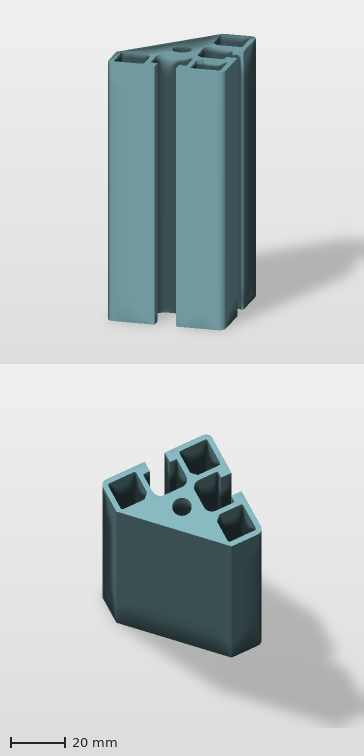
import cadquery as cq

side = 45.0
length = 100.0
short_side = 13.3
outer_radius = 2.5
half = side / 2

slot_opening = 8.2
slot_width = 13.9
slot_depth = 15.3
lip_thickness = 4.3
slot_radius = 3.3

cavity_size = 11.6
wall_thickness = 2.0
cavity_chamfer = 2.1
cavity_radius = 0.8
bore_diameter = 7.2


def make_body():
    """Square bar with one corner cut away by a 45 degree face."""
    outline = [
        (-half, -half),
        (half, -half),
        (half, half),
        (half - short_side, half),
        (-half, short_side - half),
    ]
    body = cq.Workplane("XY").polyline(outline).close().extrude(length)
    square_corners = [(-half, -half), (half, -half), (half, half)]
    for x, y in square_corners:
        edge = cq.selectors.NearestToPointSelector((x, y, length / 2))
        body = body.edges("|Z").edges(edge).fillet(outer_radius)
    return body


def make_slot():
    """T-slot cutter opening on the -Y face."""
    chamber_depth = slot_depth - lip_thickness
    chamber = (
        cq.Workplane("XY")
        .center(0, -half + lip_thickness + chamber_depth / 2)
        .rect(slot_width, chamber_depth)
        .extrude(length)
        .edges("|Z and >Y")
        .fillet(slot_radius)
    )
    opening = (
        cq.Workplane("XY")
        .center(0, -half + slot_depth / 2)
        .rect(slot_opening, slot_depth)
        .extrude(length)
    )
    return chamber.union(opening)


def make_cavity(x_sign, y_sign):
    """Corner cavity cutter, chamfered on the corner nearest the bore."""
    outer = half - wall_thickness
    inner = outer - cavity_size
    cavity = (
        cq.Workplane("XY")
        .moveTo(x_sign * (inner + outer) / 2, y_sign * (inner + outer) / 2)
        .rect(cavity_size, cavity_size)
        .extrude(length)
    )
    for x, y in [(inner, outer), (outer, outer), (outer, inner)]:
        edge = cq.selectors.NearestToPointSelector((x_sign * x, y_sign * y, length / 2))
        cavity = cavity.edges("|Z").edges(edge).fillet(cavity_radius)
    inner_edge = cq.selectors.NearestToPointSelector((x_sign * inner, y_sign * inner, length / 2))
    return cavity.edges("|Z").edges(inner_edge).chamfer(cavity_chamfer)


result = make_body()

for angle in (0, 90):
    result = result.cut(make_slot().rotate((0, 0, 0), (0, 0, 1), angle))

for x_sign, y_sign in [(-1, -1), (1, -1), (1, 1)]:
    result = result.cut(make_cavity(x_sign, y_sign))

bore = cq.Workplane("XY").circle(bore_diameter / 2).extrude(length)
result = result.cut(bore)